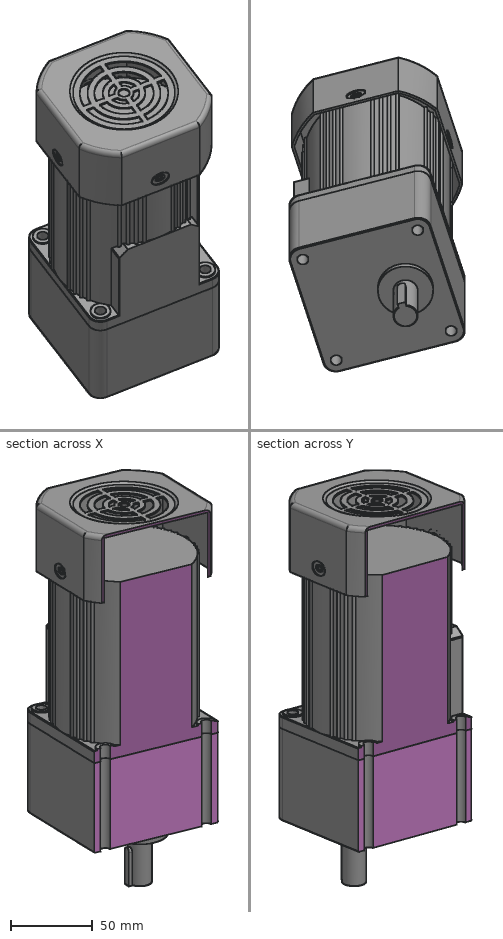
import cadquery as cq
import math


frame_width = 90.0
frame_corner_radius = 8.0
gearbox_height = 60.0
gearbox_chamfer = 0.7
flange_height = 7.9
flange_chamfer = 0.5

bolt_spacing = 73.3
bolt_hole_diameter = 7.0
bolt_pad_diameter = 12.3
bolt_pad_height = 1.0

shaft_offset = 18.2
shaft_diameter = 15.0
shaft_projection = 36.0
shaft_chamfer = 0.5
pilot_diameter = 34.0
pilot_height = 3.7
key_length = 25.0
key_width = 5.0
key_rise = 2.0
key_depth = 3.0

body_radius = frame_width / 2
panel_count = 8
panel_pitch = 360 / panel_count
ribs_per_group = 4
rib_pitch_angle = 6.5
rib_radius = 1.1

box_width = 56.5
box_height = 54.9
box_slope_run = 6.2
box_slope_drop = 5.0
box_edge_chamfer = 0.5

motor_length = 150.0
cover_width = 93.0
cover_height = 45.0
cover_corner_radius = 53.9
cover_wall = 1.5
cover_roof = 2.2
cover_edge_radius = 3.2
cover_base = motor_length - cover_height
fan_space_depth = 33.7
body_top = motor_length - fan_space_depth

inlet_radius = 33.2
inlet_floor_radius = 31.2
inlet_depth = 1.2
slot_rings = [(6.0, 9.3), (13.0, 18.2), (22.5, 27.0)]
spoke_width = 3.7
inlet_hole_radius = 3.5

oval_drop = 35.2
oval_steps = [(12.0, 9.0, 0.7), (6.6, 4.5, 1.0), (3.7, 2.2, 1.2)]


def frame_block(base, height):
    """Square block with rounded upright edges, shared by gearbox and flange."""
    block = cq.Workplane("XY", origin=(0, 0, base)).rect(frame_width, frame_width).extrude(height)
    return block.edges("|Z").fillet(frame_corner_radius)


def bolt_cylinders(diameter, base, height):
    """Four equal upright cylinders, one at each mounting hole."""
    plane = cq.Workplane("XY", origin=(0, 0, base))
    corners = plane.rect(bolt_spacing, bolt_spacing, forConstruction=True).vertices()
    return corners.circle(diameter / 2).extrude(height)


def cover_section(inset, base, height):
    """Square with its corners rounded by a circle about the axis, moved inward by inset."""
    side = cover_width - 2 * inset
    plane = cq.Workplane("XY", origin=(0, 0, base))
    square = plane.rect(side, side).extrude(height)
    return square.intersect(plane.circle(cover_corner_radius - inset).extrude(height))


def make_key():
    """Parallel key with one round end, standing out of the shaft on its +Y side."""
    shaft_end = -gearbox_height - shaft_projection
    round_centre = shaft_end + key_length - key_width / 2
    plane = cq.Workplane("XZ", origin=(-shaft_offset, shaft_diameter / 2 + key_rise, 0))
    outline = (
        plane.moveTo(-key_width / 2, shaft_end)
        .lineTo(key_width / 2, shaft_end)
        .lineTo(key_width / 2, round_centre)
        .threePointArc((0, round_centre + key_width / 2), (-key_width / 2, round_centre))
        .close()
    )
    return outline.extrude(key_rise + key_depth)


def make_gearbox():
    """Gearbox housing with pilot boss, output shaft and key."""
    bottom = cq.Workplane("XY", origin=(-shaft_offset, 0, -gearbox_height))
    housing = frame_block(-gearbox_height, gearbox_height).faces("<Z").chamfer(gearbox_chamfer)
    housing = housing.cut(bolt_cylinders(bolt_hole_diameter, -gearbox_height, gearbox_height))
    pilot = bottom.circle(pilot_diameter / 2).extrude(-pilot_height)
    shaft = bottom.circle(shaft_diameter / 2).extrude(-shaft_projection)
    shaft = shaft.faces("<Z").chamfer(shaft_chamfer)
    return housing.union(pilot).union(shaft).union(make_key())


def make_flange():
    """Square motor flange with a low round pad around each mounting hole."""
    flange = frame_block(0, flange_height).faces(">Z").chamfer(flange_chamfer)
    return flange.union(bolt_cylinders(bolt_pad_diameter, 0, flange_height + bolt_pad_height))


def make_body():
    """Round motor body with a group of ribs between neighbouring panels, reaching up into the cover."""
    plane = cq.Workplane("XY")
    body = plane.circle(body_radius).extrude(body_top)
    for panel in range(panel_count):
        group_middle = (panel + 0.5) * panel_pitch
        for place in range(ribs_per_group):
            angle = math.radians(group_middle + (place - (ribs_per_group - 1) / 2) * rib_pitch_angle)
            centre = (body_radius * math.cos(angle), body_radius * math.sin(angle))
            body = body.union(plane.moveTo(*centre).circle(rib_radius).extrude(body_top))
    return body


def make_terminal_box():
    """Box on the motor's +X side, with a sloped shoulder at each end of its top."""
    half = box_width / 2
    top = flange_height + box_height
    outline = [
        (-half, 0),
        (half, 0),
        (half, top - box_slope_drop),
        (half - box_slope_run, top),
        (box_slope_run - half, top),
        (-half, top - box_slope_drop),
    ]
    box = cq.Workplane("YZ").polyline(outline).close().extrude(body_radius)
    return box.faces("<Y or >Y").edges("not <Z").chamfer(box_edge_chamfer)


def make_motor():
    """Flange, ribbed body and terminal box, with bolt holes through the flange."""
    motor = make_flange().union(make_body()).union(make_terminal_box())
    return motor.cut(bolt_cylinders(bolt_hole_diameter, 0, flange_height + bolt_pad_height))


def make_inlet():
    """Tapered dish with rings of slots broken by four spokes, and a hole in the middle."""
    dish = (
        cq.Workplane("XY", origin=(0, 0, motor_length - inlet_depth))
        .circle(inlet_floor_radius)
        .workplane(offset=inlet_depth)
        .circle(inlet_radius)
        .loft(ruled=True)
    )
    roof = cq.Workplane("XY", origin=(0, 0, motor_length - cover_roof))
    slots = roof.circle(inlet_hole_radius).extrude(cover_roof)
    spokes = roof.rect(2 * inlet_radius, spoke_width).extrude(cover_roof)
    spokes = spokes.union(roof.rect(spoke_width, 2 * inlet_radius).extrude(cover_roof))
    for inner, outer in slot_rings:
        ring = roof.circle(outer).circle(inner).extrude(cover_roof)
        slots = slots.union(ring.cut(spokes))
    return dish.union(slots)


def make_oval_recess():
    """Nested ovals on the -Y side, each deeper than the one around it."""
    plane = cq.Workplane("XZ", origin=(0, -cover_width / 2, motor_length - oval_drop))
    recess = cq.Workplane("XY")
    for width, height, depth in oval_steps:
        recess = recess.add(plane.ellipse(width / 2, height / 2).extrude(-depth))
    return recess.combine()


def make_fan_cover():
    """Thin hollow cover, open at the bottom, that fits over the upper end of the motor body."""
    cover = cover_section(0, cover_base, cover_height).faces(">Z").edges().fillet(cover_edge_radius)
    cover = cover.cut(cover_section(cover_wall, cover_base, cover_height - cover_roof))
    cover = cover.cut(make_inlet())
    recess = make_oval_recess()
    for side in range(4):
        cover = cover.cut(recess.rotate((0, 0, 0), (0, 0, 1), 90 * side))
    return cover


gearbox = make_gearbox()
motor = make_motor()
fan_cover = make_fan_cover()

result = cq.Compound.makeCompound([gearbox.val(), motor.val(), fan_cover.val()])